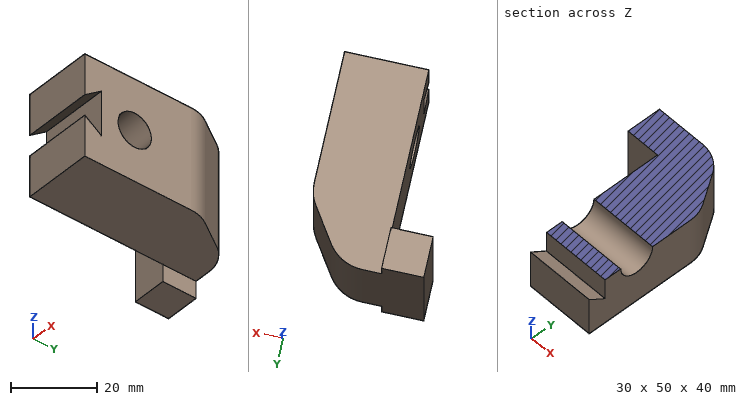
import cadquery as cq
import math

block_width = 20.0
block_length = 50.0
block_height = 30.0

bar_side = 10.0
bar_height = 40.0

corner_cut_x = 10.0
corner_cut_y = 15.0
corner_radius = 10.0

hole_diameter = 10.0
hole_from_front = 15.0

slot_opening = 6.0
slot_depth = 5.0
slot_flank_lean = 35.0

block_left = bar_side
block_right = block_left + block_width
mid_height = bar_height / 2
block_bottom = mid_height - block_height / 2


def make_block():
    """Block with the sloped, rounded back corner."""
    slope_start = (block_right, block_length - corner_cut_y)
    slope_end = (block_right - corner_cut_x, block_length)
    block = (
        cq.Workplane("XY", origin=(0, 0, block_bottom))
        .moveTo(block_left, 0)
        .lineTo(block_right, 0)
        .lineTo(*slope_start)
        .lineTo(*slope_end)
        .lineTo(block_left, block_length)
        .close()
        .extrude(block_height)
    )
    for x, y in (slope_start, slope_end):
        corner_edge = cq.selectors.NearestToPointSelector((x, y, mid_height))
        block = block.edges("|Z").edges(corner_edge).fillet(corner_radius)
    return block


def make_bar():
    """Square bar, taller than the block and centred on it in height."""
    return cq.Workplane("XY").box(bar_side, bar_side, bar_height, centered=False).translate(
        (0, block_length - bar_side, 0)
    )


def make_hole():
    """Cylinder that cuts the hole across the block."""
    return (
        cq.Workplane("YZ", origin=(block_left, hole_from_front, mid_height))
        .circle(hole_diameter / 2)
        .extrude(block_width)
    )


def make_dovetail_slot():
    """Prism that cuts the dovetail slot, wider at its floor than at its mouth."""
    half_mouth = slot_opening / 2
    half_floor = half_mouth + slot_depth * math.tan(math.radians(slot_flank_lean))
    return (
        cq.Workplane("YZ", origin=(block_left, 0, mid_height))
        .moveTo(0, -half_mouth)
        .lineTo(slot_depth, -half_floor)
        .lineTo(slot_depth, half_floor)
        .lineTo(0, half_mouth)
        .close()
        .extrude(block_width)
    )


result = make_block().union(make_bar()).cut(make_hole()).cut(make_dovetail_slot())